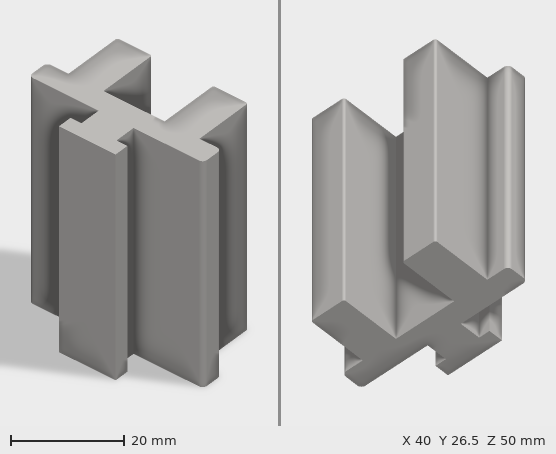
import cadquery as cq

length = 50.0
total_depth = 26.5

plate_width = 40.0
plate_thickness = 5.0
plate_corner_radius = 1.0

rail_width = 8.0
rail_height = 13.5
rail_gap = 14.0
rail_corner_radius = 0.5

neck_width = 8.0
foot_width = 13.0
foot_thickness = 3.25

plate_front = total_depth - rail_height - plate_thickness
plate_back = plate_front + plate_thickness
rail_offset = (rail_gap + rail_width) / 2


def bar(width, y_start, y_end, x_center=0.0):
    """Full-length rectangular bar between two Y positions."""
    return (
        cq.Workplane("XY")
        .center(x_center, (y_start + y_end) / 2)
        .rect(width, y_end - y_start)
        .extrude(length)
    )


plate = bar(plate_width, plate_front, plate_back).edges("|Z").fillet(plate_corner_radius)

neck = bar(neck_width, 0, plate_front)
foot = bar(foot_width, 0, foot_thickness)
result = plate.union(neck).union(foot)

for side in (-1, 1):
    rail = bar(rail_width, plate_back, total_depth, side * rail_offset)
    rail = rail.faces(">Y").edges("|Z").fillet(rail_corner_radius)
    result = result.union(rail)